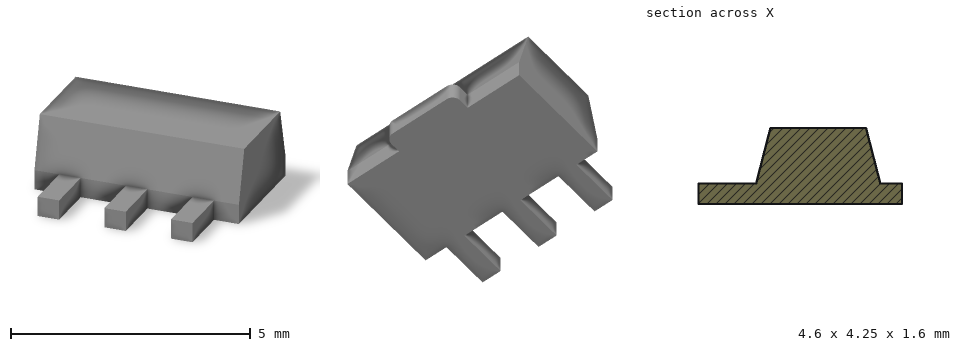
import cadquery as cq

body_length = 4.6
body_depth = 2.6
body_height = 1.6
body_top_depth = 2.0

lead_height = 0.44
lead_width = 0.485
lead_reach = 1.2
lead_pitch = 1.5
lead_count = 3

tab_width = 1.84
tab_reach = 0.45
tab_corner_radius = 0.2

overlap = 0.23


def make_body():
    half_depth = body_depth / 2
    half_top_depth = body_top_depth / 2
    profile = [
        (-half_depth, 0),
        (half_depth, 0),
        (half_depth, lead_height),
        (half_top_depth, body_height),
        (-half_top_depth, body_height),
        (-half_depth, lead_height),
    ]
    return cq.Workplane("YZ").polyline(profile).close().extrude(body_length / 2, both=True)


def make_lead(x_center):
    length = lead_reach + overlap
    y_center = -body_depth / 2 + overlap - length / 2
    lead = cq.Workplane("XY").box(lead_width, length, lead_height, centered=(True, True, False))
    return lead.translate((x_center, y_center, 0))


def make_tab():
    length = tab_reach + overlap
    y_center = body_depth / 2 - overlap + length / 2
    tab = cq.Workplane("XY").box(tab_width, length, lead_height, centered=(True, True, False))
    tab = tab.faces(">Y").edges("|Z").fillet(tab_corner_radius)
    return tab.translate((0, y_center, 0))


result = make_body().union(make_tab())
for index in range(lead_count):
    lead_x = (index - (lead_count - 1) / 2) * lead_pitch
    result = result.union(make_lead(lead_x))